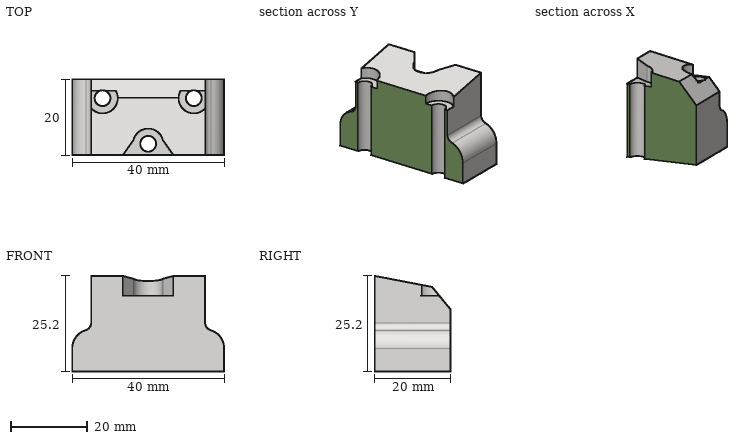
import cadquery as cq
import math

BASE_WIDTH = 40.0
BODY_WIDTH = 30.0
DEPTH = 20.0
HEIGHT = 25.19

BASE_SIDE_HEIGHT = 6.13
SHOULDER_RADIUS = 5.0
NECK_RADIUS = 2.0

RIDGE_Y = 5.1
TOP_SLOPE_DEG = 10.9
BACK_SLOPE_DEG = 50.5

HOLE_DIAMETER = 4.1
POCKET_RADIUS = 4.0
POCKET_FLOOR_Z = 20.0
REAR_HOLE_X = 12.0
REAR_HOLE_Y = 5.0
FRONT_HOLE_Y = -7.0
FLARE_RIM_ANGLE_DEG = 14.0
FLARE_HALF_ANGLE_DEG = 35.0

HALF_BASE = BASE_WIDTH / 2
HALF_BODY = BODY_WIDTH / 2
FRONT_Y = -DEPTH / 2
BACK_Y = DEPTH / 2
POCKET_DEPTH = HEIGHT - POCKET_FLOOR_Z
HOLE_CENTERS = [
    (-REAR_HOLE_X, REAR_HOLE_Y),
    (REAR_HOLE_X, REAR_HOLE_Y),
    (0, FRONT_HOLE_Y),
]


def make_body():
    """Extrude the shouldered width-height outline through the full depth."""
    shoulder_x = HALF_BASE - SHOULDER_RADIUS
    neck_x = HALF_BODY + NECK_RADIUS
    radii_sum = SHOULDER_RADIUS + NECK_RADIUS
    neck_rise = math.sqrt(radii_sum**2 - (neck_x - shoulder_x) ** 2)
    neck_z = BASE_SIDE_HEIGHT + neck_rise
    share = SHOULDER_RADIUS / radii_sum
    touch_x = shoulder_x + share * (neck_x - shoulder_x)
    touch_z = BASE_SIDE_HEIGHT + share * neck_rise

    half_outline = (
        cq.Workplane("XZ", origin=(0, BACK_Y, 0))
        .lineTo(HALF_BASE, 0)
        .lineTo(HALF_BASE, BASE_SIDE_HEIGHT)
        .tangentArcPoint((touch_x, touch_z), relative=False)
        .tangentArcPoint((HALF_BODY, neck_z), relative=False)
        .lineTo(HALF_BODY, HEIGHT)
        .lineTo(0, HEIGHT)
        .close()
    )
    half_body = half_outline.extrude(DEPTH)
    return half_body.union(half_body.mirror("YZ")).clean()


def make_top_waste():
    """Material above the gentle front slope and the steep back slope."""
    ridge_z = HEIGHT - (RIDGE_Y - FRONT_Y) * math.tan(math.radians(TOP_SLOPE_DEG))
    back_z = ridge_z - (BACK_Y - RIDGE_Y) * math.tan(math.radians(BACK_SLOPE_DEG))
    return (
        cq.Workplane("YZ")
        .moveTo(FRONT_Y, HEIGHT)
        .lineTo(RIDGE_Y, ridge_z)
        .lineTo(BACK_Y, back_z)
        .lineTo(BACK_Y, HEIGHT)
        .close()
        .extrude(HALF_BASE, both=True)
    )


def make_pockets():
    """Round pocket at each hole, with the front one flaring out to the front face."""
    floor = cq.Workplane("XY", origin=(0, 0, POCKET_FLOOR_Z))
    rounds = floor.pushPoints(HOLE_CENTERS).circle(POCKET_RADIUS).extrude(POCKET_DEPTH)

    rim_angle = math.radians(FLARE_RIM_ANGLE_DEG)
    rim_x = POCKET_RADIUS * math.cos(rim_angle)
    rim_y = FRONT_HOLE_Y + POCKET_RADIUS * math.sin(rim_angle)
    flare_half_width = rim_x + (rim_y - FRONT_Y) * math.tan(math.radians(FLARE_HALF_ANGLE_DEG))
    flare = (
        floor.moveTo(-flare_half_width, FRONT_Y)
        .lineTo(flare_half_width, FRONT_Y)
        .lineTo(rim_x, rim_y)
        .lineTo(-rim_x, rim_y)
        .close()
        .extrude(POCKET_DEPTH)
    )
    return rounds.union(flare)


def make_holes():
    """Vertical screw holes through the whole part."""
    return cq.Workplane("XY").pushPoints(HOLE_CENTERS).circle(HOLE_DIAMETER / 2).extrude(HEIGHT)


result = make_body().cut(make_top_waste()).cut(make_pockets()).cut(make_holes())